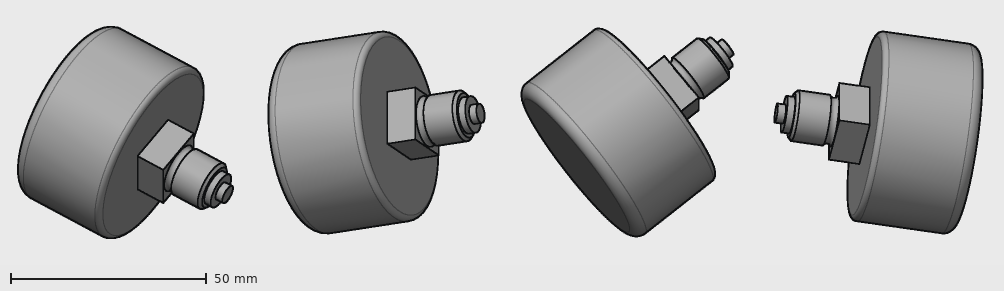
import cadquery as cq

case_diameter = 49.0
case_length = 26.5
front_fillet = 3.0
back_fillet = 1.5

block_side = 14.0
block_length = 7.9

stem_diameter = 13.15
groove_width = 2.1
groove_depth = 0.65
stem_chamfer = 0.85
stem_end = 45.5

collar_diameter = 9.5
collar_length = 1.95
tip_diameter = 5.0
overall_length = 49.5

block_end = case_length + block_length
collar_end = stem_end + collar_length


def cylinder(diameter, start, end):
    """Solid cylinder along X between two stations."""
    return cq.Workplane("YZ", origin=(start, 0, 0)).circle(diameter / 2).extrude(end - start)


def make_case():
    drum = cylinder(case_diameter, 0, case_length)
    return drum.faces("<X").edges().fillet(front_fillet).faces(">X").edges().fillet(back_fillet)


def make_block():
    plane = cq.Workplane("YZ", origin=(case_length, 0, 0))
    return plane.rect(block_side, block_side).extrude(block_length)


def make_stem():
    radius = stem_diameter / 2
    profile = (
        cq.Workplane("XY")
        .moveTo(block_end, 0)
        .lineTo(block_end, radius)
        .threePointArc(
            (block_end + groove_width / 2, radius - groove_depth),
            (block_end + groove_width, radius),
        )
        .lineTo(stem_end - stem_chamfer, radius)
        .lineTo(stem_end, radius - stem_chamfer)
        .lineTo(stem_end, 0)
        .close()
    )
    return profile.revolve(360, (0, 0, 0), (1, 0, 0))


collar = cylinder(collar_diameter, stem_end, collar_end)
tip = cylinder(tip_diameter, collar_end, overall_length)

result = make_case().union(make_block()).union(make_stem()).union(collar).union(tip)